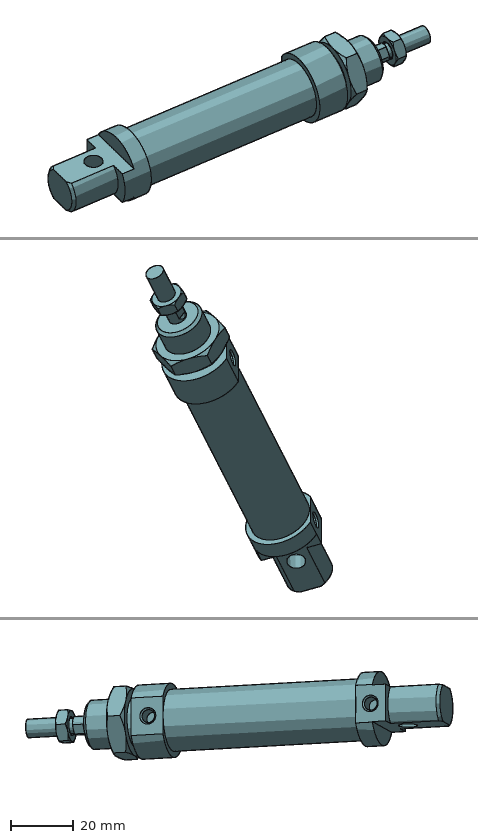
import cadquery as cq
import math

LENGTH = 141.0

TAIL_LENGTH = 17.2
REAR_DISC_START = 21.7
TUBE_START = 27.4
TUBE_END = 92.4
HEAD_END = 103.1
BOSS_END = 120.1

TUBE_DIAMETER = 20.0
CAP_DIAMETER = 24.0
CAP_FLAT_DISTANCE = 10.3
BOSS_DIAMETER = 16.0
TAIL_THICKNESS = 12.0
END_CHAMFER = 1.0
PIVOT_HOLE_DIAMETER = 6.0
PIVOT_HOLE_Y = 13.0

PORT_DIAMETER = 4.2
PORT_MOUTH_DIAMETER = 5.4
PORT_DEPTH = 5.6
PORT_POSITIONS = (22.4, 97.5)

NUT_CHAMFER_ANGLE = 30.0
MOUNT_NUT_WIDTH = 21.7
MOUNT_NUT_START = 105.2
MOUNT_NUT_THICKNESS = 6.0
MOUNT_NUT_TURN = -1.0
ROD_NUT_WIDTH = 10.0
ROD_NUT_START = 126.3
ROD_NUT_THICKNESS = 4.0
ROD_NUT_TURN = 3.0

ROD_DIAMETER = 6.0
NECK_DIAMETER = 5.0
NECK_START = 125.2
NECK_END = 126.9
WRENCH_WIDTH = 5.1
WRENCH_FLAT_START = 121.7
WRENCH_RAMP_LENGTH = 1.1
WRENCH_TURN = 36.0


def cylinder(diameter, start, end):
    """Cylinder on the Y axis between two stations."""
    return cq.Workplane("XZ", origin=(0, start, 0)).circle(diameter / 2).extrude(start - end)


def chamfered_cylinder(diameter, start, end, chamfered_face):
    """Cylinder on the Y axis with one end chamfered."""
    return (
        cylinder(diameter, start, end)
        .faces(chamfered_face)
        .chamfer(END_CHAMFER)
    )


def flat_plate(start, end):
    """Wide plate of the tail thickness, used to trim round sections to two flats."""
    return cq.Workplane("XY").box(
        CAP_DIAMETER, end - start, TAIL_THICKNESS, centered=(True, False, True)
    ).translate((0, start, 0))


def flattened_cap(body):
    """Cut the flat on the -X side of a round cap."""
    stock = cq.Workplane("XY").box(
        CAP_DIAMETER, LENGTH, CAP_DIAMETER, centered=(False, False, True)
    ).translate((-CAP_FLAT_DISTANCE, 0, 0))
    return body.intersect(stock)


def port(position):
    """Blind port entering from the -X flat, with a 45 degree countersunk mouth."""
    radius = PORT_DIAMETER / 2
    mouth_radius = PORT_MOUTH_DIAMETER / 2
    floor_x = PORT_DEPTH - CAP_FLAT_DISTANCE
    neck_x = mouth_radius - radius - CAP_FLAT_DISTANCE
    return (
        cq.Workplane("XY")
        .moveTo(-CAP_FLAT_DISTANCE, 0)
        .lineTo(-CAP_FLAT_DISTANCE, mouth_radius)
        .lineTo(neck_x, radius)
        .lineTo(floor_x, radius)
        .lineTo(floor_x, 0)
        .close()
        .revolve(360, (0, 0, 0), (1, 0, 0))
        .translate((0, position, 0))
    )


def make_housing():
    """Tube with its front cap and threaded boss, rear cap and flat pivot tail."""
    tail = chamfered_cylinder(BOSS_DIAMETER, 0, TAIL_LENGTH, "<Y").intersect(flat_plate(0, TAIL_LENGTH))
    pivot_hole = (
        cq.Workplane("XY")
        .center(0, PIVOT_HOLE_Y)
        .circle(PIVOT_HOLE_DIAMETER / 2)
        .extrude(TAIL_THICKNESS, both=True)
    )
    rear_block = cylinder(CAP_DIAMETER, TAIL_LENGTH, REAR_DISC_START).intersect(
        flat_plate(TAIL_LENGTH, REAR_DISC_START)
    )
    rear_disc = cylinder(CAP_DIAMETER, REAR_DISC_START, TUBE_START)
    rear_cap = flattened_cap(rear_block.union(rear_disc))
    tube = cylinder(TUBE_DIAMETER, TUBE_START, TUBE_END)
    front_cap = flattened_cap(cylinder(CAP_DIAMETER, TUBE_END, HEAD_END))
    boss = chamfered_cylinder(BOSS_DIAMETER, HEAD_END, BOSS_END, ">Y")

    housing = tail.union(rear_cap).union(tube).union(front_cap).union(boss).cut(pivot_hole)
    for position in PORT_POSITIONS:
        housing = housing.cut(port(position))
    return housing


def make_nut(width, thickness, bore, start, turn):
    """Hexagon nut with its corners chamfered by a cone at both faces."""
    face_radius = width / 2
    corner_radius = face_radius / math.cos(math.radians(30))
    chamfer_length = (corner_radius - face_radius) * math.tan(math.radians(NUT_CHAMFER_ANGLE))
    hexagon = (
        cq.Workplane("XZ")
        .polygon(6, 2 * corner_radius)
        .extrude(-thickness)
        .rotate((0, 0, 0), (0, 1, 0), -turn)
    )
    chamfer_envelope = (
        cq.Workplane("XY")
        .moveTo(0, 0)
        .lineTo(face_radius, 0)
        .lineTo(corner_radius, chamfer_length)
        .lineTo(corner_radius, thickness - chamfer_length)
        .lineTo(face_radius, thickness)
        .lineTo(0, thickness)
        .close()
        .revolve(360, (0, 0, 0), (0, 1, 0))
    )
    hole = cylinder(bore, 0, thickness)
    return hexagon.intersect(chamfer_envelope).cut(hole).translate((0, start, 0))


def wrench_flat_cutter(turn):
    """Wedge that cuts one wrench flat, with a ramp rising to the rod surface."""
    radius = ROD_DIAMETER / 2
    flat_distance = WRENCH_WIDTH / 2
    return (
        cq.Workplane("XY")
        .moveTo(flat_distance, NECK_START)
        .lineTo(flat_distance, WRENCH_FLAT_START)
        .lineTo(radius, WRENCH_FLAT_START - WRENCH_RAMP_LENGTH)
        .lineTo(radius, NECK_START)
        .close()
        .extrude(ROD_DIAMETER, both=True)
        .rotate((0, 0, 0), (0, 1, 0), -turn)
    )


def make_rod():
    """Piston rod standing on the boss, with a necked groove and two wrench flats."""
    shank = cylinder(ROD_DIAMETER, BOSS_END, NECK_START)
    for turn in (WRENCH_TURN, WRENCH_TURN + 180):
        shank = shank.cut(wrench_flat_cutter(turn))
    neck = cylinder(NECK_DIAMETER, NECK_START, NECK_END)
    threaded_end = cylinder(ROD_DIAMETER, NECK_END, LENGTH)
    return shank.union(neck).union(threaded_end)


housing = make_housing()
mount_nut = make_nut(
    MOUNT_NUT_WIDTH, MOUNT_NUT_THICKNESS, BOSS_DIAMETER, MOUNT_NUT_START, MOUNT_NUT_TURN
)
rod = make_rod()
rod_nut = make_nut(ROD_NUT_WIDTH, ROD_NUT_THICKNESS, ROD_DIAMETER, ROD_NUT_START, ROD_NUT_TURN)

result = cq.Compound.makeCompound([housing.val(), mount_nut.val(), rod.val(), rod_nut.val()])